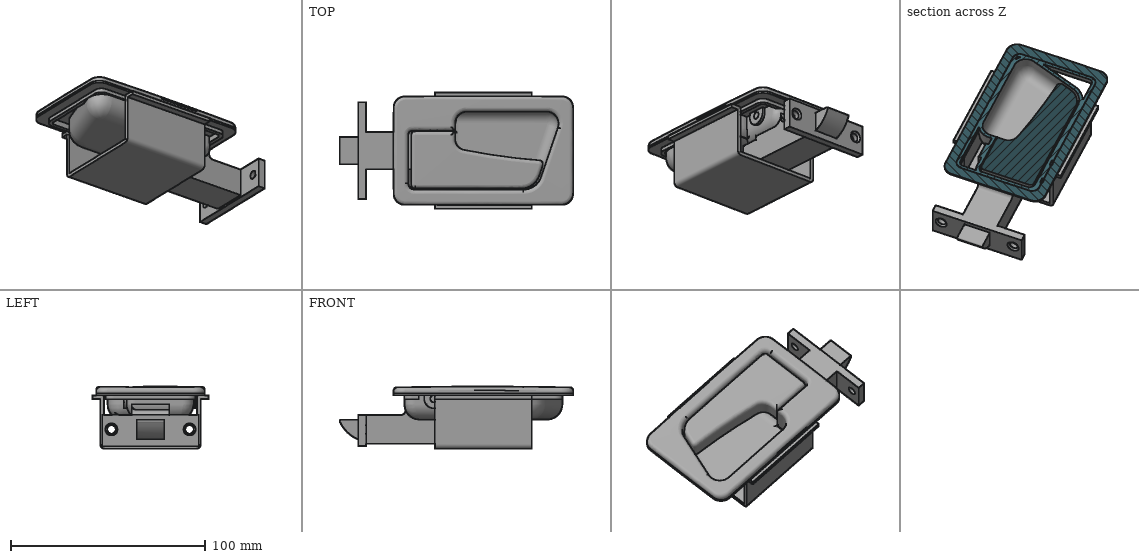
import cadquery as cq
import math


SHEET = 2.0
OVERALL_LENGTH = 120.5
CROWN_TOP = 32.2
DOME_RADIUS = 2410.0
EDGE_ROUND = 2.2
BRACKET_TOP = 27.6
GASKET_THICKNESS = 1.1
FLANGE_BOTTOM = BRACKET_TOP + GASKET_THICKNESS

FLANGE_HALF_X = 46.3
FLANGE_HALF_Y = 28.0
SIDE_BULGE = 0.1
FLANGE_CORNER = 5.9
FLANGE_ROUND = 1.9

RECESS_LEFT = -38.7
STEP_X = -14.6
NARROW_Y = 10.2
RECESS_HALF_Y = 20.1
SLANT_POINT = (29.4, -14.6)
SLANT_ANGLE = math.atan2(22.3, 7.6)
SMALL_CORNER = 2.2
FRONT_LEFT_CORNER = 3.3
WIDE_CORNER = 6.3
FRONT_RIGHT_CORNER = 9.8
FLOOR_ROUND = 5.8
PAN_BOTTOM = 15.1
FLOOR_Z = PAN_BOTTOM + SHEET
WALL_FOOT_Z = FLOOR_Z + FLOOR_ROUND
DIVIDER_X = STEP_X - 3.7

RIM_HALF_X = 40.8
RIM_HALF_Y = 23.1
RIM_BOTTOM = 25.4
RIM_CORNER = 4.1

PIN_X = -25.5
PIN_Z = 25.8
PIN_RADIUS = 1.8
EAR_RADIUS = 5.0
EAR_REAR_Y = 13.7
RIM_GAP_HALF = 7.8

PADDLE_LEFT = -37.2
PADDLE_REAR_Y = 10.0
PADDLE_FRONT_Y = -19.5
PADDLE_BOTTOM = WALL_FOOT_Z + 0.2
PADDLE_CORNER = 2.0
SCOOP_RADIUS = 5.8
SCOOP_START_Y = 6.0
SCOOP_END_ANGLE = 261.0
SCOOP_MIDDLE = (10.1, -3.0)
SCOOP_END = (25.0, -5.2)
SLANT_GAP = 1.1

BRACKET_HALF_X = 25.0
BRACKET_HALF_Y = 25.9
LIP_HALF_Y = 30.0
BRACKET_BEND = 2.4
LIP_BEND = 1.0

TIP_X = FLANGE_HALF_X + SIDE_BULGE - OVERALL_LENGTH
BOLT_REACH = 9.5
PLATE_X = TIP_X + BOLT_REACH
PLATE_THICKNESS = 4.1
PLATE_HALF_Y = 25.0
PLATE_BOTTOM = 1.3
HOUSING_TOP = 17.5
HOUSING_BOTTOM = 2.5
HOUSING_HALF_Y = 9.6
HOUSING_END_X = -10.8
HUMP_START_X = -40.2
HUMP_ROUND = 2.3
SCREW_Y = 20.1
SCREW_Z = 10.0
SCREW_HOLE = 4.3
SCREW_HEAD = 6.3
COUNTERSINK_ANGLE = 90
BOLT_HALF_Y = 7.1
BOLT_TOP = 15.1
BOLT_BOTTOM = 4.8
BOLT_NOSE_ROUND = 0.8
BOLT_BELLY = (TIP_X + 3.6, 8.8)


def box(x0, x1, y0, y1, z0, z1):
    """Box between opposite corners."""
    return cq.Workplane("XY").box(x1 - x0, y1 - y0, z1 - z0, centered=False).translate((x0, y0, z0))


def slant_x(y, inset=0.0):
    """X of the slanted end wall at the given y, moved inwards by inset."""
    along = (y - SLANT_POINT[1]) / math.tan(SLANT_ANGLE)
    return SLANT_POINT[0] + along - inset / math.sin(SLANT_ANGLE)


def prism(points, z0, z1):
    return cq.Workplane("XY").workplane(offset=z0).polyline(points).close().extrude(z1 - z0)


def round_corner(solid, x, y, radius):
    """Round the upright edge that stands at (x, y)."""
    near = 0.06
    picker = cq.selectors.BoxSelector((x - near, y - near, -120.5), (x + near, y + near, 120.5), boundingbox=False)
    return solid.edges("|Z").edges(picker).fillet(radius)


def crown_block():
    """Block with a spherical top, wider than the flange, used to trim bodies to the crown."""
    reach = 72.3
    swing = 3.0
    base = PAN_BOTTOM
    sag = DOME_RADIUS - math.sqrt(DOME_RADIUS**2 - reach**2)
    profile = (
        cq.Workplane("XZ")
        .moveTo(-reach, base)
        .lineTo(-reach, CROWN_TOP - sag)
        .threePointArc((0, CROWN_TOP), (reach, CROWN_TOP - sag))
        .lineTo(reach, base)
        .close()
    )
    centre_z = CROWN_TOP - DOME_RADIUS
    block = profile.revolve(2 * swing, (0, centre_z, 0), (1, centre_z, 0))
    return block.rotate((0, 0, centre_z), (1, 0, centre_z), -swing)


def flange_prism(z0, z1):
    """Rectangle with slightly bowed sides and round corners."""
    x, y = FLANGE_HALF_X, FLANGE_HALF_Y
    return (
        cq.Workplane("XY")
        .workplane(offset=z0)
        .moveTo(-x, -y)
        .threePointArc((0, -y - SIDE_BULGE), (x, -y))
        .threePointArc((x + SIDE_BULGE, 0), (x, y))
        .threePointArc((0, y + SIDE_BULGE), (-x, y))
        .threePointArc((-x - SIDE_BULGE, 0), (-x, -y))
        .close()
        .extrude(z1 - z0)
        .edges("|Z")
        .fillet(FLANGE_CORNER)
    )


def recess_prism(grow, z0, z1):
    """Outline of the hand recess, moved outwards by grow, as an upright prism."""
    left, step = RECESS_LEFT - grow, STEP_X - grow
    narrow, half = NARROW_Y + grow, RECESS_HALF_Y + grow
    corners = [
        (left, -half, FRONT_LEFT_CORNER),
        (slant_x(-half, -grow), -half, FRONT_RIGHT_CORNER),
        (slant_x(half, -grow), half, WIDE_CORNER),
        (step, half, WIDE_CORNER),
        (step, narrow, None),
        (left, narrow, SMALL_CORNER),
    ]
    solid = prism([(x, y) for x, y, _ in corners], z0, z1)
    for x, y, radius in corners:
        if radius:
            solid = round_corner(solid, x, y, radius + grow)
    return solid


def wide_basin(left, grow, rear_left_corner, z0, z1):
    """Block under the wide part of the recess, rounded all along its floor."""
    half = RECESS_HALF_Y + grow
    front_right = (slant_x(-half, -grow), -half)
    rear_right = (slant_x(half, -grow), half)
    block = prism([(left, -half), front_right, rear_right, (left, half)], z0, z1)
    block = round_corner(block, *front_right, FRONT_RIGHT_CORNER + grow)
    block = round_corner(block, *rear_right, WIDE_CORNER + grow)
    if rear_left_corner:
        block = round_corner(block, left, half, rear_left_corner)
    return block.faces("<Z").edges().fillet(FLOOR_ROUND + grow)


def narrow_basin(right, grow, z0, z1):
    """Block under the narrow part of the recess, rounded along its floor except on the right."""
    left, front, rear = RECESS_LEFT - grow, -RECESS_HALF_Y - grow, NARROW_Y + grow
    block = box(left, right, front, rear, z0, z1)
    block = round_corner(block, left, front, FRONT_LEFT_CORNER + grow)
    block = round_corner(block, left, rear, SMALL_CORNER + grow)
    return block.faces("<Z").edges("not >X").fillet(FLOOR_ROUND + grow)


def rim_prism(inset, z0, z1):
    return (
        cq.Workplane("XY")
        .workplane(offset=z0)
        .rect(2 * (RIM_HALF_X - inset), 2 * (RIM_HALF_Y - inset))
        .extrude(z1 - z0)
        .edges("|Z")
        .fillet(RIM_CORNER - inset)
    )


def hinge_ear(y0, y1):
    """U-shaped lug hanging from the flange around the hinge pin."""
    round_end = hinge_cylinder(EAR_RADIUS, y0, y1)
    return round_end.union(box(PIN_X - EAR_RADIUS, PIN_X + EAR_RADIUS, y0, y1, PIN_Z, FLANGE_BOTTOM))


def hinge_cylinder(radius, y0, y1):
    return cq.Workplane("XZ", origin=(PIN_X, y1, PIN_Z)).circle(radius).extrude(y1 - y0)


def make_bolt():
    """Latch bolt with a round nose and a bowed ramp below; its shank fills the face plate."""
    back = PLATE_X + PLATE_THICKNESS
    nose = BOLT_NOSE_ROUND
    diagonal = nose * math.sqrt(0.5)
    return (
        cq.Workplane("XZ", origin=(0, BOLT_HALF_Y, 0))
        .moveTo(back, BOLT_BOTTOM)
        .lineTo(back, BOLT_TOP)
        .lineTo(TIP_X + nose, BOLT_TOP)
        .threePointArc((TIP_X, BOLT_TOP - nose), (TIP_X + nose - diagonal, BOLT_TOP - nose - diagonal))
        .threePointArc(BOLT_BELLY, (PLATE_X, BOLT_BOTTOM))
        .close()
        .extrude(2 * BOLT_HALF_Y)
    )


def make_latch_housing(bolt):
    """Face plate and case in one piece, with a hump that rises into the pan."""
    hump_foot = HOUSING_TOP + HUMP_ROUND
    hump_end = DIVIDER_X - SHEET
    case = (
        cq.Workplane("XZ", origin=(0, HOUSING_HALF_Y, 0))
        .moveTo(PLATE_X, HOUSING_BOTTOM)
        .lineTo(HOUSING_END_X, HOUSING_BOTTOM)
        .lineTo(HOUSING_END_X, PAN_BOTTOM)
        .lineTo(hump_end, PAN_BOTTOM)
        .lineTo(hump_end, WALL_FOOT_Z)
        .lineTo(HUMP_START_X, WALL_FOOT_Z)
        .lineTo(HUMP_START_X, hump_foot)
        .radiusArc((HUMP_START_X - HUMP_ROUND, HOUSING_TOP), HUMP_ROUND)
        .lineTo(PLATE_X, HOUSING_TOP)
        .close()
        .extrude(2 * HOUSING_HALF_Y)
    )
    plate = box(PLATE_X, PLATE_X + PLATE_THICKNESS, -PLATE_HALF_Y, PLATE_HALF_Y, PLATE_BOTTOM, HOUSING_TOP)
    plate = (
        plate.union(case)
        .faces("<X")
        .workplane(origin=(PLATE_X, 0, SCREW_Z))
        .pushPoints([(-SCREW_Y, 0), (SCREW_Y, 0)])
        .cskHole(SCREW_HOLE, SCREW_HEAD, COUNTERSINK_ANGLE, PLATE_THICKNESS)
    )
    return plate.cut(bolt)


def make_pin():
    return hinge_cylinder(PIN_RADIUS, -RIM_HALF_Y, EAR_REAR_Y)


def make_escutcheon(pin, latch_housing):
    """Domed flange with the pan, the rim and the hinge ears below it."""
    flange = flange_prism(FLANGE_BOTTOM, CROWN_TOP + 1.2).intersect(crown_block())
    flange = flange.faces(">Z").edges().fillet(FLANGE_ROUND)

    flange = flange.cut(recess_prism(0, FLANGE_BOTTOM - 1.2, CROWN_TOP + 1.2))
    inside = cq.selectors.BoxSelector((-43.4, -24.1, 0), (43.4, 24.1, CROWN_TOP + 1.2), boundingbox=True)
    flange = flange.faces(">Z").edges(inside).fillet(EDGE_ROUND)

    basin = wide_basin(STEP_X - SHEET, SHEET, WIDE_CORNER + SHEET, PAN_BOTTOM, FLANGE_BOTTOM)
    basin = basin.union(narrow_basin(0, SHEET, PAN_BOTTOM, FLANGE_BOTTOM))
    pan = basin.intersect(recess_prism(SHEET, PAN_BOTTOM, FLANGE_BOTTOM))

    rim = rim_prism(0, RIM_BOTTOM, FLANGE_BOTTOM).cut(rim_prism(SHEET, RIM_BOTTOM, FLANGE_BOTTOM))
    pan_front = -RECESS_HALF_Y - SHEET
    gap = box(PIN_X - RIM_GAP_HALF, PIN_X + RIM_GAP_HALF, -RIM_HALF_Y, pan_front, RIM_BOTTOM, FLANGE_BOTTOM)
    pan = pan.union(rim.cut(gap))
    pan = pan.union(hinge_ear(-RIM_HALF_Y, pan_front)).union(hinge_ear(NARROW_Y + SHEET, EAR_REAR_Y))

    hollow = box(-60.2, 60.2, -60.2, 60.2, WALL_FOOT_Z, FLANGE_BOTTOM)
    hollow = hollow.union(wide_basin(DIVIDER_X, 0, None, FLOOR_Z, FLANGE_BOTTOM))
    hollow = hollow.union(narrow_basin(DIVIDER_X - SHEET, 0, FLOOR_Z, FLANGE_BOTTOM))
    pan = pan.cut(hollow.intersect(recess_prism(0, FLOOR_Z, FLANGE_BOTTOM)))
    return flange.union(pan).cut(pin).cut(latch_housing)


def make_gasket():
    plate = flange_prism(BRACKET_TOP, FLANGE_BOTTOM)
    return plate.cut(rim_prism(0, BRACKET_TOP, FLANGE_BOTTOM))


def make_paddle(pin):
    """Domed paddle with a scooped rear edge that opens the hand pocket."""
    centre_x = STEP_X + SCOOP_RADIUS
    end_angle = math.radians(SCOOP_END_ANGLE)
    mid_angle = (math.pi + end_angle) / 2
    arc = [
        (centre_x + SCOOP_RADIUS * math.cos(a), SCOOP_START_Y + SCOOP_RADIUS * math.sin(a))
        for a in (mid_angle, end_angle)
    ]
    front_right = (slant_x(PADDLE_FRONT_Y, SLANT_GAP), PADDLE_FRONT_Y)
    tip = (slant_x(SCOOP_END[1], SLANT_GAP), SCOOP_END[1])
    solid = (
        cq.Workplane("XY")
        .workplane(offset=PADDLE_BOTTOM)
        .moveTo(PADDLE_LEFT, PADDLE_FRONT_Y)
        .lineTo(*front_right)
        .lineTo(*tip)
        .threePointArc(SCOOP_MIDDLE, arc[1])
        .threePointArc(arc[0], (STEP_X, SCOOP_START_Y))
        .lineTo(STEP_X, PADDLE_REAR_Y)
        .lineTo(PADDLE_LEFT, PADDLE_REAR_Y)
        .close()
        .extrude(CROWN_TOP + 1.2 - PADDLE_BOTTOM)
    )
    solid = round_corner(solid, *front_right, FRONT_RIGHT_CORNER)
    solid = round_corner(solid, *tip, PADDLE_CORNER)
    for y in (PADDLE_FRONT_Y, PADDLE_REAR_Y):
        solid = round_corner(solid, PADDLE_LEFT, y, PADDLE_CORNER)
    solid = solid.intersect(crown_block())
    solid = solid.faces(">Z").edges().fillet(PADDLE_CORNER - 0.1)
    return solid.cut(pin)


def make_bracket():
    """Folded hat-section strap that carries the latch below the flange."""
    wall = BRACKET_HALF_Y
    inner = BRACKET_HALF_Y - SHEET
    lip = BRACKET_TOP - SHEET
    right_half = [(wall, 0), (wall, lip), (LIP_HALF_Y, lip), (LIP_HALF_Y, BRACKET_TOP),
                  (inner, BRACKET_TOP), (inner, SHEET)]
    left_half = [(-y, z) for y, z in reversed(right_half)]
    strap = (
        cq.Workplane("YZ", origin=(-BRACKET_HALF_X, 0, 0))
        .polyline(right_half + left_half)
        .close()
        .extrude(2 * BRACKET_HALF_X)
    )
    strap = strap.edges("|X and <Z").fillet(BRACKET_BEND)
    for side in (-1, 1):
        bend = cq.selectors.NearestToPointSelector((0, side * inner, BRACKET_TOP))
        strap = strap.edges("|X").edges(bend).fillet(LIP_BEND)
    return strap


bolt = make_bolt()
latch_housing = make_latch_housing(bolt)
pin = make_pin()
escutcheon = make_escutcheon(pin, latch_housing)
gasket = make_gasket()
paddle = make_paddle(pin)
bracket = make_bracket()

result = cq.Compound.makeCompound(
    [body.val() for body in (escutcheon, gasket, paddle, pin, bracket, latch_housing, bolt)]
)